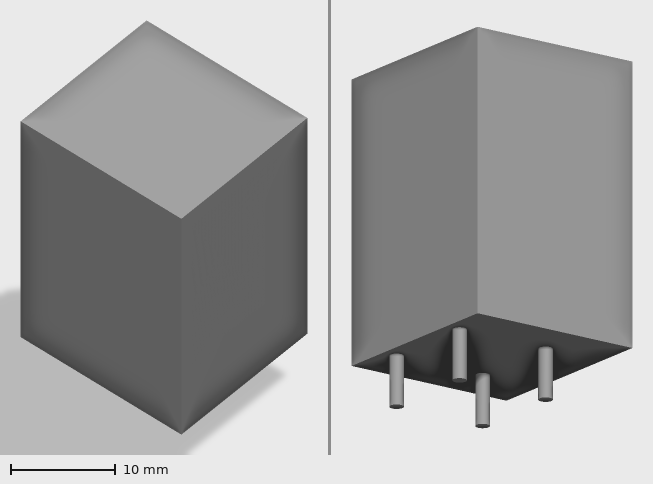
import cadquery as cq

housing_length = 20.32
housing_width = 18.3
housing_height = 28.7

pin_diameter = 1.4
pin_length = 5.1
pin_pitch = 10.16
pin_back_margin = 1.6

rear_row_y = housing_width / 2 - pin_back_margin
pin_columns = (-pin_pitch / 2, pin_pitch / 2)
pin_rows = (rear_row_y - pin_pitch, rear_row_y)


def make_housing():
    """Rectangular block centred in X and Y, with its bottom face at Z = 0."""
    return cq.Workplane("XY").box(
        housing_length, housing_width, housing_height, centered=(True, True, False)
    )


def make_pin(x, y):
    """Round pin hanging down from the bottom face of the housing."""
    return cq.Workplane("XY").center(x, y).circle(pin_diameter / 2).extrude(-pin_length)


housing = make_housing()
pins = [make_pin(x, y) for x in pin_columns for y in pin_rows]

result = cq.Compound.makeCompound([housing.val(), *[pin.val() for pin in pins]])